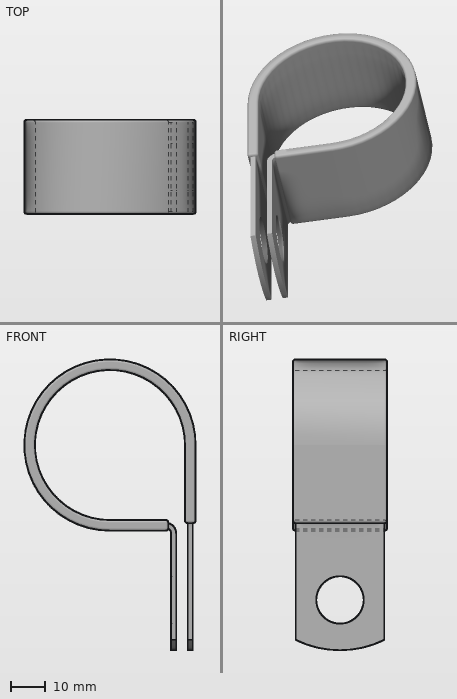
import cadquery as cq
import math


bore_radius = 21.425
strap_thickness = 1.524
strap_width = 25.4
cushion_cover = 0.793
leg_gap = 3.25
leg_bottom_z = -58.725
leg_tip_radius = 28.6
hole_diameter = 13.49
hole_z = -44.3
cushion_drop = 22.35

strap_inner_radius = bore_radius + cushion_cover
strap_outer_radius = strap_inner_radius + strap_thickness
cushion_outer_radius = strap_outer_radius + cushion_cover
cushion_width = strap_width + 2 * cushion_cover
bent_leg_outer_x = strap_inner_radius - leg_gap
bent_leg_inner_x = bent_leg_outer_x - strap_thickness
bend_inner_radius = strap_thickness
bend_outer_radius = bend_inner_radius + strap_thickness
bend_x = bent_leg_inner_x - bend_inner_radius
bend_z = -strap_outer_radius - bend_inner_radius
shelf_end_x = bend_x + cushion_cover
tip_side_z = leg_bottom_z + leg_tip_radius - math.sqrt(leg_tip_radius**2 - (strap_width / 2) ** 2)


def extrude_about_xz(profile, width):
    """Extrude an XZ profile symmetrically about the Y = 0 plane."""
    return profile.extrude(width / 2, both=True)


def arc_middle(radius):
    """Middle point of the 270 degree ring arc, at the upper left."""
    offset = radius * math.sqrt(0.5)
    return (-offset, offset)


def bend_middle(radius):
    """Middle point of the 90 degree bend between the shelf and its leg."""
    offset = radius * math.sqrt(0.5)
    return (bend_x + offset, bend_z + offset)


def make_strap():
    """Ring, shelf, bend and both legs as one constant-thickness strip."""
    profile = (
        cq.Workplane("XZ")
        .moveTo(strap_outer_radius, leg_bottom_z)
        .lineTo(strap_outer_radius, 0)
        .threePointArc(arc_middle(strap_outer_radius), (0, -strap_outer_radius))
        .lineTo(bend_x, -strap_outer_radius)
        .threePointArc(bend_middle(bend_inner_radius), (bent_leg_inner_x, bend_z))
        .lineTo(bent_leg_inner_x, leg_bottom_z)
        .lineTo(bent_leg_outer_x, leg_bottom_z)
        .lineTo(bent_leg_outer_x, bend_z)
        .threePointArc(bend_middle(bend_outer_radius), (bend_x, -strap_inner_radius))
        .lineTo(0, -strap_inner_radius)
        .threePointArc(arc_middle(strap_inner_radius), (strap_inner_radius, 0))
        .lineTo(strap_inner_radius, leg_bottom_z)
        .close()
    )
    return extrude_about_xz(profile, strap_width)


def trim_leg_tips(strap):
    """Keep the strap inside an outline whose lower end is an arc, which rounds both leg tips."""
    half_width = strap_width / 2
    outline = (
        cq.Workplane("YZ")
        .moveTo(-half_width, strap_outer_radius)
        .lineTo(-half_width, tip_side_z)
        .threePointArc((0, leg_bottom_z), (half_width, tip_side_z))
        .lineTo(half_width, strap_outer_radius)
        .close()
        .extrude(strap_outer_radius, both=True)
    )
    return strap.intersect(outline)


def drill_legs(strap):
    """Bolt hole through both legs."""
    bolt_hole = (
        cq.Workplane("YZ")
        .center(0, hole_z)
        .circle(hole_diameter / 2)
        .extrude(strap_outer_radius)
    )
    return strap.cut(bolt_hole)


def make_cushion():
    """Cushion around the ring, the shelf and the top of the straight leg, rounded on all outer edges."""
    profile = (
        cq.Workplane("XZ")
        .moveTo(cushion_outer_radius, -cushion_drop)
        .lineTo(cushion_outer_radius, 0)
        .threePointArc(arc_middle(cushion_outer_radius), (0, -cushion_outer_radius))
        .lineTo(shelf_end_x, -cushion_outer_radius)
        .lineTo(shelf_end_x, -bore_radius)
        .lineTo(0, -bore_radius)
        .threePointArc(arc_middle(bore_radius), (bore_radius, 0))
        .lineTo(bore_radius, -cushion_drop)
        .close()
    )
    cushion = extrude_about_xz(profile, cushion_width)

    strap_middle_radius = (strap_inner_radius + strap_outer_radius) / 2
    leg_end = cq.selectors.NearestToPointSelector((strap_middle_radius, 0, -cushion_drop))
    shelf_end = cq.selectors.NearestToPointSelector((shelf_end_x, 0, -strap_middle_radius))
    sides = cq.selectors.ParallelDirSelector(cq.Vector(0, 1, 0))
    return cushion.faces(sides + leg_end + shelf_end).edges().fillet(cushion_cover)


strap = drill_legs(trim_leg_tips(make_strap()))
result = make_cushion().union(strap)